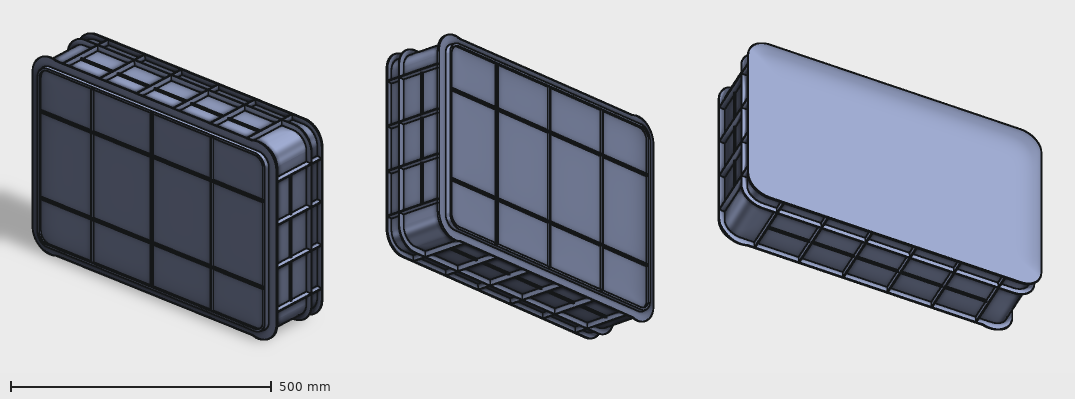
import cadquery as cq

length = 621.0
height = 426.0
depth = 145.0
sheet = 3.0

rim_height = 421.0
rim_corner_radius = 45.5
band_center_y = 112.5

wall_inset = 11.0
wall_length = length - 2 * wall_inset
wall_height = rim_height - 2 * wall_inset
wall_corner_radius = rim_corner_radius - wall_inset

flange_root = 4.5
flange_edge = 2.0
lobe_radius = 46.0

foot_depth = 9.5
foot_length = 584.5
foot_tip_length = 579.5
foot_height = 386.0
foot_corner_radius = 27.0
lip_width = 5.0
recess_depth = 5.0
foot_rib_count_x = 3
foot_rib_pitch_x = 152.0
foot_rib_count_z = 2
foot_rib_pitch_z = 187.5

rib_pitch = 94.0
rib_count_x = 6
rib_count_z = 4
rib_root = 4.5
rib_tip = 2.0
low_rib_y = 62.0
low_rib_height = 3.0


def rounded_plate(size_x, size_z, radius, y_start, thickness):
    """Rounded rectangle in the XZ plane, extruded toward +Y."""
    plate = cq.Workplane("XY").box(size_x, thickness, size_z).edges("|Y").fillet(radius)
    return plate.translate((0, y_start + thickness / 2, 0))


def rounded_outline(size_x, size_z, radius):
    return cq.Sketch().rect(size_x, size_z).vertices().fillet(radius)


def loft_along_y(start_outline, y_start, end_outline, y_end):
    """Straight-sided loft between two outlines lying in planes across Y."""
    end_place = cq.Location(cq.Vector(0, 0, y_start - y_end))
    return (
        cq.Workplane("XZ", origin=(0, y_start, 0))
        .placeSketch(start_outline, end_outline.moved(end_place))
        .loft(ruled=True)
    )


def block(size_x, y_start, y_end, size_z, x=0.0, z=0.0):
    """Box centred at (x, z), spanning y_start to y_end."""
    box = cq.Workplane("XY").box(size_x, y_end - y_start, size_z)
    return box.translate((x, (y_start + y_end) / 2, z))


def spread(count, pitch):
    """Evenly pitched positions, centred on zero."""
    return [(i - (count - 1) / 2) * pitch for i in range(count)]


def make_base_flange():
    y_start, y_end = foot_depth, foot_depth + flange_root
    lobe_x = length / 2 - lobe_radius
    lobe_z = height / 2 - lobe_radius
    flange = block(length, y_start, y_end, 2 * lobe_z)
    flange = flange.union(block(2 * lobe_x, y_start, y_end, rim_height))
    lobes = (
        cq.Workplane("XZ", origin=(0, y_end, 0))
        .rect(2 * lobe_x, 2 * lobe_z, forConstruction=True)
        .vertices()
        .circle(lobe_radius)
        .extrude(flange_root)
    )
    draft_cut = (
        cq.Workplane("YZ", origin=(-length / 2, 0, 0))
        .polyline([
            (y_end, wall_height / 2),
            (y_end, height / 2),
            (y_start + flange_edge, height / 2),
        ])
        .close()
        .extrude(length)
    )
    return flange.union(lobes).cut(draft_cut).cut(draft_cut.mirror("XY"))


def make_foot():
    tip_outline = rounded_outline(foot_tip_length, foot_height, foot_corner_radius)
    root_outline = rounded_outline(foot_length, foot_height, foot_corner_radius)
    foot = loft_along_y(tip_outline, 0, root_outline, foot_depth)
    recess_length = foot_tip_length - 2 * lip_width
    recess_height = foot_height - 2 * lip_width
    recess = rounded_plate(
        recess_length, recess_height, foot_corner_radius - lip_width, 0, recess_depth
    )
    for x in spread(foot_rib_count_x, foot_rib_pitch_x):
        recess = recess.cut(block(sheet, 0, recess_depth, recess_height, x=x))
    for z in spread(foot_rib_count_z, foot_rib_pitch_z):
        recess = recess.cut(block(recess_length, 0, recess_depth, sheet, z=z))
    return foot.cut(recess)


def drafted_rib(reach, y_start, y_end):
    """Rib across the whole body along X, thinner toward both tips."""
    half_root = rib_root / 2
    half_tip = rib_tip / 2
    root = reach - wall_inset
    return (
        cq.Workplane("XZ", origin=(0, y_end, 0))
        .polyline([
            (-reach, -half_tip), (-root, -half_root), (root, -half_root), (reach, -half_tip),
            (reach, half_tip), (root, half_root), (-root, half_root), (-reach, half_tip),
        ])
        .close()
        .extrude(y_end - y_start)
    )


def make_ribbed_body():
    y_start, y_end = foot_depth, depth
    body = rounded_plate(wall_length, wall_height, wall_corner_radius, y_start, y_end - y_start)
    for z in spread(rib_count_z, rib_pitch):
        body = body.union(drafted_rib(length / 2, y_start, y_end).translate((0, 0, z)))
    upright = drafted_rib(rim_height / 2, y_start, y_end).rotate((0, 0, 0), (0, 1, 0), 90)
    for x in spread(rib_count_x, rib_pitch):
        body = body.union(upright.translate((x, 0, 0)))
    return body


def make_low_ribs():
    y_start = low_rib_y - sheet / 2
    y_end = low_rib_y + sheet / 2
    span_x = (rib_count_x - 1) * rib_pitch
    span_z = (rib_count_z - 1) * rib_pitch
    on_top_and_bottom = block(span_x, y_start, y_end, wall_height + 2 * low_rib_height)
    on_ends = block(wall_length + 2 * low_rib_height, y_start, y_end, span_z)
    return on_top_and_bottom.union(on_ends)


def make_rim():
    return rounded_plate(length, rim_height, rim_corner_radius, depth - sheet, sheet)


def make_band():
    """Middle band, drafted on both faces like the side ribs."""
    rim_outline = rounded_outline(length, rim_height, rim_corner_radius)
    wall_outline = rounded_outline(wall_length, wall_height, wall_corner_radius)
    draft = (rib_root - rib_tip) / 2
    tip_start = band_center_y - rib_tip / 2
    tip_end = band_center_y + rib_tip / 2
    band = rounded_plate(length, rim_height, rim_corner_radius, tip_start, rib_tip)
    band = band.union(loft_along_y(wall_outline, tip_start - draft, rim_outline, tip_start))
    return band.union(loft_along_y(rim_outline, tip_end, wall_outline, tip_end + draft))


result = (
    make_ribbed_body()
    .union(make_low_ribs())
    .union(make_rim())
    .union(make_band())
    .union(make_base_flange())
    .union(make_foot())
)